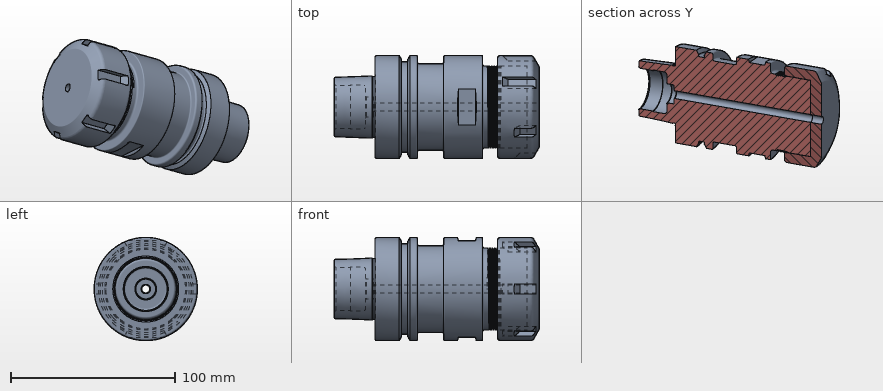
import cadquery as cq
import math

LENGTH = 125.0
OUTER_RADIUS = 31.5
EDGE_FILLET = 1.1

NOSE_RADIUS = 18.1
TAPER_END_X = 23.0
TAPER_END_RADIUS = 19.0
RELIEF_RADIUS = 18.6
RELIEF_START_X = 23.6
RELIEF_ARC = 0.8
RELIEF_RIM_RADIUS = 20.1
RELIEF_FACE_DEPTH = 0.2

FLANGE_X = 24.9
GRIP_FLOOR_RADIUS = 27.6
GRIP_FLOOR_START_X = 41.1
GRIP_FLOOR_END_X = 44.8
GRIP_FLOOR_FILLET = 0.4
GRIP_BEVEL_LENGTH = 1.5
GRIP_BEVEL_DEPTH = 2.6
FLANGE_END_X = 50.9

WAIST_RADIUS = 26.5
WAIST_FILLET = 0.8
COLLAR_X = 66.6
COLLAR_END_X = 90.4
COLLAR_END_FILLET = 0.6
SHANK_RADIUS = 25.0
SHANK_ROOT_FILLET = 1.1
SHANK_END_X = 117.5

FLAT_CENTER_X = 80.9
FLAT_HEIGHT = 29.5
FLAT_FLOOR_LENGTH = 10.2
FLAT_RIM_LENGTH = 11.5

THREAD_START_X = 93.8
THREAD_PITCH = 1.5
THREAD_TURNS = 5
THREAD_DEPTH = 0.8
THREAD_MOUTH = 1.1
THREAD_ROOT = 0.4

LIP_RADIUS = 13.0
LIP_END_X = 9.9
LIP_CHAMFER = 0.8
LIP_CHAMFER_LENGTH = 1.2
SOCKET_RADIUS = 13.4
SOCKET_DEPTH = 19.1
SOCKET_FLOOR_FILLET = 1.5
RECESS_RADIUS = 6.0
RECESS_DEPTH = 5.0
RECESS_CHAMFER = 0.6
THROUGH_RADIUS = 2.4
THROUGH_CHAMFER = 0.5

NUT_X = 99.4
NUT_REAR_FILLET = 2.1
NUT_CONE_X = 121.0
NUT_FACE_RADIUS = 24.4
NUT_CONE_FILLET = 2.5
NUT_FACE_FILLET = 0.5

SLOT_COUNT = 6
SLOT_WIDTH = 6.2
SLOT_FLOOR_RADIUS = 28.0
SHORT_SLOT_X = 109.6
LONG_SLOT_X = 102.5

CLEARANCE = 6.2
MATCH_TOLERANCE = 0.01


def round_rims(body, rims):
    """Fillet the circular edges given as (x, edge radius, fillet radius)."""
    for x, radius, fillet in rims:
        edges = [
            edge for edge in body.edges("%CIRCLE").vals()
            if abs(edge.Center().x - x) < MATCH_TOLERANCE
            and abs(edge.radius() - radius) < MATCH_TOLERANCE
        ]
        body = body.newObject(edges).fillet(fillet)
    return body


def cylinder(start_x, end_x, radius):
    return cq.Workplane("YZ", origin=(start_x, 0, 0)).circle(radius).extrude(end_x - start_x)


def revolve_about_x(profile):
    return profile.close().revolve(360, (0, 0, 0), (1, 0, 0))


def holder_blank():
    """Turned outside of the holder, from the nose to the threaded shank."""
    arc_middle = RELIEF_ARC * math.sqrt(0.5)
    arc_end_x = FLANGE_X + RELIEF_FACE_DEPTH
    arc_center_x = arc_end_x - RELIEF_ARC
    arc_end_radius = RELIEF_RADIUS + RELIEF_ARC
    bevel_radius = OUTER_RADIUS - GRIP_BEVEL_DEPTH
    profile = (
        cq.Workplane("XY")
        .moveTo(0, 0)
        .lineTo(0, NOSE_RADIUS)
        .lineTo(TAPER_END_X, TAPER_END_RADIUS)
        .lineTo(RELIEF_START_X, RELIEF_RADIUS)
        .lineTo(arc_center_x, RELIEF_RADIUS)
        .threePointArc(
            (arc_center_x + arc_middle, arc_end_radius - arc_middle),
            (arc_end_x, arc_end_radius),
        )
        .lineTo(FLANGE_X, RELIEF_RIM_RADIUS)
        .lineTo(FLANGE_X, OUTER_RADIUS)
        .lineTo(GRIP_FLOOR_START_X - GRIP_BEVEL_LENGTH, OUTER_RADIUS)
        .lineTo(GRIP_FLOOR_START_X, bevel_radius)
        .lineTo(GRIP_FLOOR_START_X, GRIP_FLOOR_RADIUS)
        .lineTo(GRIP_FLOOR_END_X, GRIP_FLOOR_RADIUS)
        .lineTo(GRIP_FLOOR_END_X, bevel_radius)
        .lineTo(GRIP_FLOOR_END_X + GRIP_BEVEL_LENGTH, OUTER_RADIUS)
        .lineTo(FLANGE_END_X, OUTER_RADIUS)
        .lineTo(FLANGE_END_X, WAIST_RADIUS)
        .lineTo(COLLAR_X, WAIST_RADIUS)
        .lineTo(COLLAR_X, OUTER_RADIUS)
        .lineTo(COLLAR_END_X, OUTER_RADIUS)
        .lineTo(COLLAR_END_X, SHANK_RADIUS)
        .lineTo(SHANK_END_X, SHANK_RADIUS)
        .lineTo(SHANK_END_X, 0)
    )
    return round_rims(revolve_about_x(profile), [
        (0, NOSE_RADIUS, EDGE_FILLET),
        (FLANGE_X, OUTER_RADIUS, EDGE_FILLET),
        (GRIP_FLOOR_START_X, GRIP_FLOOR_RADIUS, GRIP_FLOOR_FILLET),
        (GRIP_FLOOR_END_X, GRIP_FLOOR_RADIUS, GRIP_FLOOR_FILLET),
        (FLANGE_END_X, OUTER_RADIUS, EDGE_FILLET),
        (FLANGE_END_X, WAIST_RADIUS, WAIST_FILLET),
        (COLLAR_X, WAIST_RADIUS, WAIST_FILLET),
        (COLLAR_X, OUTER_RADIUS, EDGE_FILLET),
        (COLLAR_END_X, OUTER_RADIUS, COLLAR_END_FILLET),
        (COLLAR_END_X, SHANK_RADIUS, SHANK_ROOT_FILLET),
    ])


def countersink(x, radius, chamfer, length):
    """Cone that widens a bore mouth at x by the chamfer and narrows to the bore over the length."""
    return revolve_about_x(
        cq.Workplane("XY")
        .moveTo(x, 0)
        .lineTo(x, radius + chamfer)
        .lineTo(x + length, radius)
        .lineTo(x + length, 0)
    )


def stepped_bore():
    """Socket behind a guide lip, then a smaller recess and a through hole, with broken edges."""
    recess_end_x = SOCKET_DEPTH + RECESS_DEPTH
    socket = cylinder(LIP_END_X, SOCKET_DEPTH, SOCKET_RADIUS)
    socket = socket.faces(">X").edges().fillet(SOCKET_FLOOR_FILLET)
    return (
        socket
        .union(cylinder(0, LIP_END_X, LIP_RADIUS))
        .union(cylinder(SOCKET_DEPTH, recess_end_x, RECESS_RADIUS))
        .union(cylinder(recess_end_x, SHANK_END_X, THROUGH_RADIUS))
        .union(countersink(0, LIP_RADIUS, LIP_CHAMFER, LIP_CHAMFER_LENGTH))
        .union(countersink(SOCKET_DEPTH, RECESS_RADIUS, RECESS_CHAMFER, RECESS_CHAMFER))
        .union(countersink(recess_end_x, THROUGH_RADIUS, THROUGH_CHAMFER, THROUGH_CHAMFER))
    )


def wrench_flat(side):
    """Pocket with sloping ends, above the axis for side = 1 and below for side = -1."""
    pocket_depth = OUTER_RADIUS - FLAT_HEIGHT
    end_slope = (FLAT_RIM_LENGTH - FLAT_FLOOR_LENGTH) / 2 / pocket_depth
    half_floor = FLAT_FLOOR_LENGTH / 2
    half_top = half_floor + end_slope * (pocket_depth + CLEARANCE)
    top = OUTER_RADIUS + CLEARANCE
    return (
        cq.Workplane("XZ")
        .polyline([
            (FLAT_CENTER_X - half_floor, side * FLAT_HEIGHT),
            (FLAT_CENTER_X + half_floor, side * FLAT_HEIGHT),
            (FLAT_CENTER_X + half_top, side * top),
            (FLAT_CENTER_X - half_top, side * top),
        ])
        .close()
        .extrude(OUTER_RADIUS, both=True)
    )


def thread_groove():
    """Right-hand helical groove, swept along Z from +X and then turned onto the X axis."""
    helix = cq.Wire.makeHelix(THREAD_PITCH, THREAD_PITCH * THREAD_TURNS, SHANK_RADIUS)
    wall_slope = (THREAD_MOUTH - THREAD_ROOT) / 2 / THREAD_DEPTH
    overlap = THREAD_DEPTH / 2
    half_root = THREAD_ROOT / 2
    half_top = THREAD_MOUTH / 2 + wall_slope * overlap
    groove = (
        cq.Workplane("XZ")
        .polyline([
            (SHANK_RADIUS - THREAD_DEPTH, -half_root),
            (SHANK_RADIUS + overlap, -half_top),
            (SHANK_RADIUS + overlap, half_top),
            (SHANK_RADIUS - THREAD_DEPTH, half_root),
        ])
        .close()
        .sweep(cq.Workplane(obj=helix), isFrenet=True)
    )
    along_x = cq.Location(cq.Plane.YZ(origin=(THREAD_START_X, 0, 0)))
    return cq.Workplane(obj=groove.val().moved(along_x))


def make_holder():
    holder = holder_blank().cut(stepped_bore())
    for side in (1, -1):
        holder = holder.cut(wrench_flat(side))
    return holder.cut(thread_groove())


def nut_slot(start_x, angle):
    """Slot with a 45 degree run-in, turned from -Y by the angle about the X axis."""
    slot_depth = OUTER_RADIUS - SLOT_FLOOR_RADIUS
    slot = (
        cq.Workplane("XY")
        .polyline([
            (start_x + slot_depth, -SLOT_FLOOR_RADIUS),
            (LENGTH + CLEARANCE, -SLOT_FLOOR_RADIUS),
            (LENGTH + CLEARANCE, -OUTER_RADIUS - CLEARANCE),
            (start_x - CLEARANCE, -OUTER_RADIUS - CLEARANCE),
        ])
        .close()
        .extrude(SLOT_WIDTH / 2, both=True)
    )
    return slot.rotate((0, 0, 0), (1, 0, 0), angle)


def make_nut():
    """Cap that encloses the shank, with short slots on its -Y half and long slots on its +Y half."""
    profile = (
        cq.Workplane("XY")
        .moveTo(NUT_X, SHANK_RADIUS)
        .lineTo(NUT_X, OUTER_RADIUS)
        .lineTo(NUT_CONE_X, OUTER_RADIUS)
        .lineTo(LENGTH, NUT_FACE_RADIUS)
        .lineTo(LENGTH, THROUGH_RADIUS)
        .lineTo(SHANK_END_X, THROUGH_RADIUS)
        .lineTo(SHANK_END_X, SHANK_RADIUS)
    )
    nut = round_rims(revolve_about_x(profile), [
        (NUT_X, OUTER_RADIUS, NUT_REAR_FILLET),
        (NUT_CONE_X, OUTER_RADIUS, NUT_CONE_FILLET),
        (LENGTH, NUT_FACE_RADIUS, NUT_FACE_FILLET),
    ])
    for index in range(SLOT_COUNT):
        angle = index * 360 / SLOT_COUNT
        faces_minus_y = math.cos(math.radians(angle)) > 0
        start_x = SHORT_SLOT_X if faces_minus_y else LONG_SLOT_X
        nut = nut.cut(nut_slot(start_x, angle))
    return nut


holder = make_holder()
nut = make_nut()
result = cq.Compound.makeCompound([holder.solids().val(), nut.solids().val()])